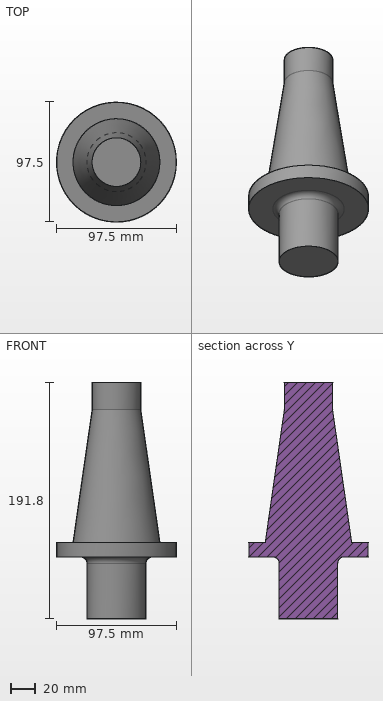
import cadquery as cq

total_height = 191.8
flange_diameter = 97.5
flange_thickness = 11.9

shank_diameter = 48.0
shank_length = 50.0
shank_fillet = 5.0

taper_base_diameter = 70.5
tip_diameter = 39.5
tip_length = 22.0

flange_bottom = shank_length
flange_top = flange_bottom + flange_thickness
tip_bottom = total_height - tip_length
shank_radius = shank_diameter / 2
flange_radius = flange_diameter / 2
taper_base_radius = taper_base_diameter / 2
tip_radius = tip_diameter / 2

half_profile = (
    cq.Workplane("XZ")
    .lineTo(shank_radius, 0)
    .lineTo(shank_radius, flange_bottom - shank_fillet)
    .tangentArcPoint((shank_radius + shank_fillet, flange_bottom), relative=False)
    .lineTo(flange_radius, flange_bottom)
    .lineTo(flange_radius, flange_top)
    .lineTo(taper_base_radius, flange_top)
    .lineTo(tip_radius, tip_bottom)
    .lineTo(tip_radius, total_height)
    .lineTo(0, total_height)
    .close()
)

result = half_profile.revolve(360, (0, 0, 0), (0, 1, 0))